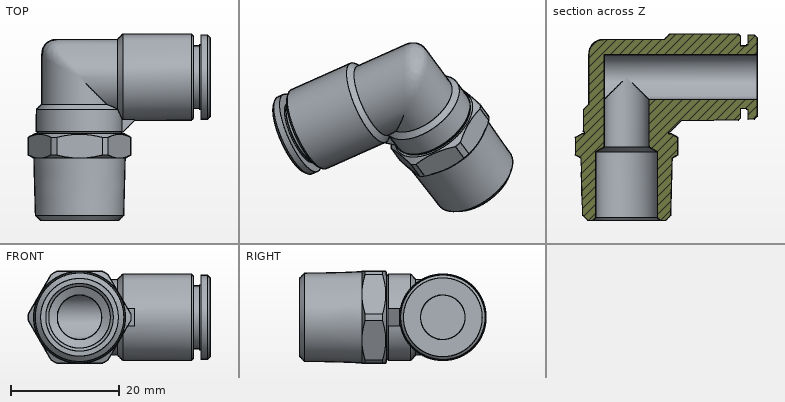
import cadquery as cq
import math


body_radius = 7.0
fan_tilt = math.radians(30)

sleeve_radius = 8.0
sleeve_start = 7.0
sleeve_lead = sleeve_radius - body_radius
sleeve_end = 21.05
sleeve_chamfer = 0.4
neck_radius = 5.83
lip_radius = 6.0
lip_start = 22.1
ring_radius = 7.8
ring_start = 22.4
ring_end = 24.15
ring_chamfer = 0.52

collar_start = 5.0
collar_lead = 0.93
collar_end = 10.15
collar_chamfer = 0.15
groove_radius = 7.8
hex_start = 10.42
hex_end = 14.95
hex_flats = 17.0
hex_corner_radius = 9.5
hex_back_radius = 8.28
hex_chamfer_angle = math.radians(30)
thread_root_radius = 8.45
thread_tip_radius = 8.18
thread_end = 26.5
thread_chamfer = 1.0

bore_radius = 4.1
counterbore_radius = 5.7
mouth_radius = 6.25
taper_angle = math.radians(30)
counterbore_end = 13.8

gusset_reach = 10.15
gusset_inset = 7.6
gusset_width = 3.17


def turned_y(profile):
    """Revolve (radius, distance along -Y) points about the Y axis."""
    points = [(radius, -distance) for radius, distance in profile]
    return cq.Workplane("XY").polyline(points).close().revolve(360, (0, 0), (0, 1))


def turned_x(profile):
    """Revolve (distance along X, radius) points about the X axis."""
    return cq.Workplane("XY").polyline(profile).close().revolve(360, (0, 0), (1, 0))


def prism(points, height):
    """Extrude XY points symmetrically about the plane of the axes."""
    return cq.Workplane("XY").polyline(points).close().extrude(height / 2, both=True)


def elbow_body():
    """Two mitred cylinders joined outside by a corner ellipsoid tangent to both of them."""
    size = 4 * body_radius
    slope = math.tan(fan_tilt)
    outlet_zone = prism([(0, 0), (size, -size), (size, size), (-size * slope, size)], size)
    inlet_zone = prism([(0, 0), (-size, size * slope), (-size, -size), (size, -size)], size)

    outlet = cq.Workplane("YZ").workplane(offset=-body_radius).circle(body_radius)
    outlet = outlet.extrude(body_radius + sleeve_start).intersect(outlet_zone)
    inlet = cq.Workplane("XZ").workplane(offset=-body_radius).circle(body_radius)
    inlet = inlet.extrude(body_radius + collar_start).intersect(inlet_zone)

    return outlet.union(inlet).union(rounded_corner())


def rounded_corner():
    """Wedge of an ellipsoid that meets both cylinders without a kink.

    A sphere wedge centred on the elbow's outer diagonal is stretched along
    that diagonal and squeezed across it.
    """
    slope = math.tan(fan_tilt)
    long_scale = math.sqrt(1 + slope)
    short_scale = math.sqrt(1 - slope)
    mean = (long_scale + short_scale) / 2
    skew = (short_scale - long_scale) / 2
    stretch = cq.Matrix([[mean, skew, 0, 0], [skew, mean, 0, 0], [0, 0, 1, 0]])

    wedge_angle = math.degrees(math.acos(slope))
    diagonal_angle = 135
    half_disc = cq.Workplane("XZ").moveTo(0, -body_radius)
    half_disc = half_disc.threePointArc((body_radius, 0), (0, body_radius)).close()
    wedge = half_disc.revolve(wedge_angle, (0, 0), (0, 1))
    wedge = wedge.rotate((0, 0, 0), (0, 0, 1), diagonal_angle - wedge_angle / 2)
    return cq.Workplane(wedge.val().transformGeometry(stretch))


def outlet_sleeve():
    return turned_x([
        (sleeve_start, 0),
        (sleeve_start, body_radius),
        (sleeve_start + sleeve_lead, sleeve_radius),
        (sleeve_end - sleeve_chamfer, sleeve_radius),
        (sleeve_end, sleeve_radius - sleeve_chamfer),
        (sleeve_end, neck_radius),
        (lip_start, neck_radius),
        (lip_start, lip_radius),
        (ring_start, lip_radius),
        (ring_start, ring_radius),
        (ring_end - ring_chamfer, ring_radius),
        (ring_end, ring_radius - ring_chamfer),
        (ring_end, 0),
    ])


def inlet_collar():
    return turned_y([
        (0, collar_start),
        (body_radius, collar_start),
        (sleeve_radius, collar_start + collar_lead),
        (sleeve_radius, collar_end - collar_chamfer),
        (sleeve_radius - collar_chamfer, collar_end),
        (groove_radius, collar_end),
        (groove_radius, hex_start),
        (0, hex_start),
    ])


def hexagon():
    """Hexagon with its corners turned off and both ends chamfered."""
    flat_radius = hex_flats / 2
    slope = math.tan(hex_chamfer_angle)
    back_chamfer = (hex_corner_radius - hex_back_radius) * slope
    front_chamfer = (hex_corner_radius - flat_radius) * slope
    blank = cq.Workplane("XZ").workplane(offset=hex_start)
    blank = blank.polygon(6, hex_flats, circumscribed=True).extrude(hex_end - hex_start)
    envelope = turned_y([
        (0, hex_start),
        (hex_back_radius, hex_start),
        (hex_corner_radius, hex_start + back_chamfer),
        (hex_corner_radius, hex_end - front_chamfer),
        (flat_radius, hex_end),
        (0, hex_end),
    ])
    blank = blank.rotate((0, 0, 0), (0, 1, 0), 30)
    return blank.intersect(envelope)


def thread():
    return turned_y([
        (0, hex_end),
        (thread_root_radius, hex_end),
        (thread_tip_radius, thread_end - thread_chamfer),
        (thread_tip_radius - thread_chamfer, thread_end),
        (0, thread_end),
    ])


def gusset():
    return prism(
        [
            (gusset_inset, -gusset_inset),
            (gusset_reach, -gusset_inset),
            (gusset_reach, -sleeve_radius),
            (sleeve_radius, -gusset_reach),
            (gusset_inset, -gusset_reach),
        ],
        gusset_width,
    )


def passage():
    """Bore round the elbow, with a wider counterbore tapering down from the thread end."""
    mouth_depth = mouth_radius - counterbore_radius
    taper_depth = (counterbore_radius - bore_radius) * math.tan(taper_angle)
    inlet = turned_y([
        (0, 0),
        (bore_radius, 0),
        (bore_radius, counterbore_end - taper_depth),
        (counterbore_radius, counterbore_end),
        (counterbore_radius, thread_end - mouth_depth),
        (mouth_radius, thread_end),
        (0, thread_end),
    ])
    outlet = cq.Workplane("YZ").workplane(offset=-bore_radius).circle(bore_radius)
    return inlet.union(outlet.extrude(bore_radius + ring_end))


solid = elbow_body().union(outlet_sleeve()).union(inlet_collar())
solid = solid.union(hexagon()).union(thread()).union(gusset())
result = solid.cut(passage())